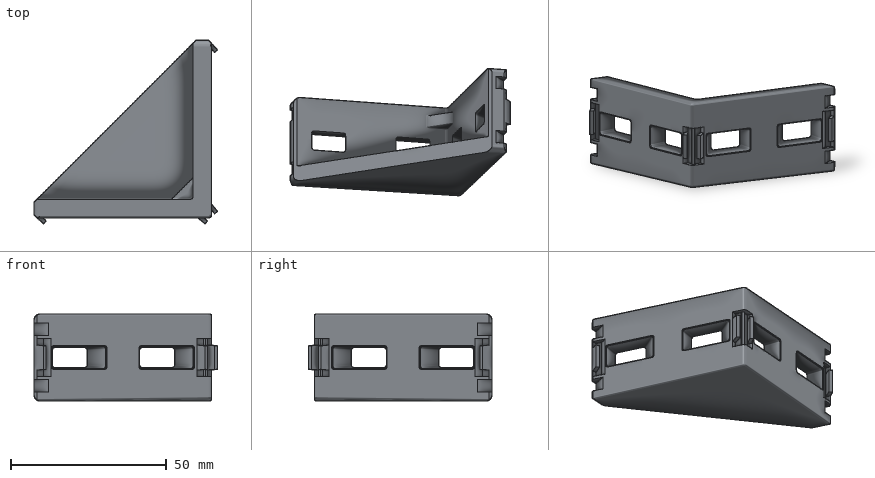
import cadquery as cq
import math


height = 28.0
mid_height = height / 2
overall_length = 58.9
fin_reach = 1.9
leg_length = overall_length - fin_reach
wall = 6.0
tip_chamfer = 1.05
tip_width = 5.0
slope_offset = leg_length + tip_width
tip_round = 2.05
edge_round = 0.6
corner_round = 1.05

web_thickness = 5.05
web_rise = 0.65
inner_corner_round = 0.9
web_fillet = 0.4

gusset_leg = 6.9
gusset_bottom = 21.0
gusset_top = 24.9
gusset_round = 0.25
gusset_fillet = 0.4

slot_starts = (11.9, 39.9)
slot_length = 11.2
slot_height = 6.35
slot_flare = 6.1
slot_draft = 0.4
slot_round = 0.9
lip = 0.25

pocket_height = 12.1
pocket_depth = 1.95
pocket_floor = 2.05
lean = math.radians(39)
fin_height = 8.0
fin_draft = 0.25
fin_thickness = 1.25
near_pocket_wall = 4.75
far_pocket_wall = leg_length - tip_chamfer
near_fin_tip = 2.1
far_fin_tip = 53.9
ridge_offset = 3.35

notch_height = 4.0
notch_spacing = 18.0
notch_along = 4.65
notch_depth = 3.7

clearance = 0.6

mirror_normal = (1, 1, 0)
diagonal_plane = cq.Plane(origin=(0, 0, 0), xDir=(-1, 1, 0), normal=(1, 1, 0))


def both_legs(shape):
    """Join a shape on the X leg with its mirror image on the Y leg."""
    return shape.union(shape.mirror(mirror_normal))


def prism(points, bottom, top):
    """Upright prism from (x, y) points."""
    return cq.Workplane("XY").workplane(offset=bottom).polyline(points).close().extrude(top - bottom)


def centred_prism(points, size, centre=mid_height):
    return prism(points, centre - size / 2, centre + size / 2)


def space_above_tilt(level):
    """Everything above a plane at this level under the sloping edge, rising towards the corner."""
    edge_distance = slope_offset / math.sqrt(2)
    rise_rate = web_rise / edge_distance
    reach = 2 * edge_distance
    start = -reach / 2
    points = [
        (start, level + (edge_distance - start) * rise_rate),
        (reach, level + (edge_distance - reach) * rise_rate),
        (reach, 2 * height),
        (start, 2 * height),
    ]
    return cq.Workplane(diagonal_plane).polyline(points).close().extrude(reach, both=True)


def make_block():
    outline = [
        (0, 0),
        (-leg_length + tip_chamfer, 0),
        (-leg_length, tip_chamfer),
        (-leg_length, tip_width),
        (-tip_width, leg_length),
        (-tip_chamfer, leg_length),
        (0, leg_length - tip_chamfer),
    ]
    block = prism(outline, 0, height).intersect(space_above_tilt(0))
    corner_zone = cq.selectors.BoxSelector((-clearance, -clearance, 0), (clearance, clearance, height))
    block = block.edges(corner_zone).fillet(corner_round)
    block = block.faces("<Y or >X").edges("not |Z").fillet(edge_round)
    rounded_end = (
        cq.Workplane("XZ")
        .rect(2 * leg_length, height)
        .extrude(-leg_length)
        .translate((0, 0, mid_height))
        .edges("|Y and <X")
        .fillet(tip_round)
    )
    return block.intersect(rounded_end).intersect(rounded_end.mirror(mirror_normal))


def make_cavity():
    far = 2 * leg_length
    cavity = prism([(-wall, wall), (-far, wall), (-far, far), (-wall, far)], 0, 2 * height)
    cavity = cavity.edges("|Z and >X and <Y").fillet(inner_corner_round)
    cavity = cavity.intersect(space_above_tilt(web_thickness))
    return cavity.faces("<Z").edges(">X or <Y").fillet(web_fillet)


def add_gusset(body):
    """Join the gusset to the legs and fillet every seam between them."""
    near = wall - clearance
    far = wall + gusset_leg + clearance
    gusset = prism([(-near, near), (-far, near), (-near, far)], gusset_bottom, gusset_top)
    gusset = gusset.faces("<(1, -1, 0)").edges("not |Z").fillet(gusset_round)
    joined = body.union(gusset)
    gusset_zone = cq.selectors.BoxSelector(
        (-far, near, gusset_bottom - clearance),
        (-near, far, gusset_top + clearance),
    )
    wall_seams = joined.edges(gusset_zone).edges("not |(1, 1, 0)")
    return wall_seams.fillet(gusset_fillet)


def slot_wire(near, far, size, depth):
    """Rounded rectangle across the slot at one depth in the X leg."""
    plane = cq.Plane(origin=(-(near + far) / 2, depth, mid_height), xDir=(1, 0, 0), normal=(0, -1, 0))
    outline = cq.Workplane(plane).rect(far - near, size).extrude(clearance).edges("|Y").fillet(slot_round)
    return outline.faces(">Y").wires().val()


def make_slot(start):
    end = start + slot_length
    mouth_start = start - slot_flare
    mouth_height = slot_height + 2 * slot_draft
    window = slot_wire(start, end, slot_height, wall)
    throat = slot_wire(mouth_start, end, mouth_height, 0)
    mouth_low = slot_wire(mouth_start, end, mouth_height, lip)
    mouth_top = slot_wire(mouth_start - lip, end + lip, mouth_height + 2 * lip, 0)
    flare = cq.Workplane(cq.Solid.makeLoft([window, throat], True))
    return flare.union(cq.Workplane(cq.Solid.makeLoft([mouth_low, mouth_top], True)))


def make_pocket(wall_along):
    """Pocket with a square wall on the tip side and a leaning wall on the corner side."""
    floor_end = wall_along - pocket_floor
    lean_run = (pocket_depth + clearance) / math.tan(lean)
    points = [
        (-wall_along, -clearance),
        (-wall_along, pocket_depth),
        (-floor_end, pocket_depth),
        (-floor_end + lean_run, -clearance),
    ]
    return centred_prism(points, pocket_height)


def make_corner_relief():
    """Clears the corner between the two near pockets, leaving a blunt ridge."""
    points = [
        (-ridge_offset - clearance, -clearance),
        (clearance, ridge_offset + clearance),
        (clearance, -clearance),
    ]
    return centred_prism(points, pocket_height)


def fin_end(outer, inner, size):
    """Upright rectangle between two (x, y) points."""
    low = mid_height - size / 2
    high = mid_height + size / 2
    return cq.Wire.makePolygon([(*outer, low), (*inner, low), (*inner, high), (*outer, high)], close=True)


def make_fin(wall_along, tip_along):
    """Fin leaning towards the corner, rooted in the square wall of a pocket."""
    tip_outer = (-tip_along, -fin_reach)
    tip_inner = (
        -tip_along + fin_thickness * math.sin(lean),
        -fin_reach + fin_thickness * math.cos(lean),
    )
    root_depth = -fin_reach + (wall_along - tip_along) * math.tan(lean)
    root_outer = (-wall_along, max(root_depth, 0))
    root = fin_end(root_outer, (-wall_along, pocket_depth), fin_height)
    tip = fin_end(tip_outer, tip_inner, fin_height - 2 * fin_draft)
    return cq.Workplane(cq.Solid.makeLoft([root, tip], True))


def make_notch(centre):
    points = [
        (-leg_length, notch_depth),
        (-leg_length + notch_along, 0),
        (-leg_length + notch_along, -clearance),
        (-leg_length - clearance, -clearance),
        (-leg_length - clearance, notch_depth),
    ]
    return centred_prism(points, notch_height, centre)


result = add_gusset(make_block().cut(make_cavity()))

for slot_start in slot_starts:
    result = result.cut(both_legs(make_slot(slot_start)))

for side in (-1, 1):
    result = result.cut(both_legs(make_notch(mid_height + side * notch_spacing / 2)))

result = result.cut(make_corner_relief())
pockets_and_fins = ((near_pocket_wall, near_fin_tip), (far_pocket_wall, far_fin_tip))
for pocket_wall, fin_tip in pockets_and_fins:
    result = result.cut(both_legs(make_pocket(pocket_wall)))
    result = result.union(both_legs(make_fin(pocket_wall, fin_tip)))